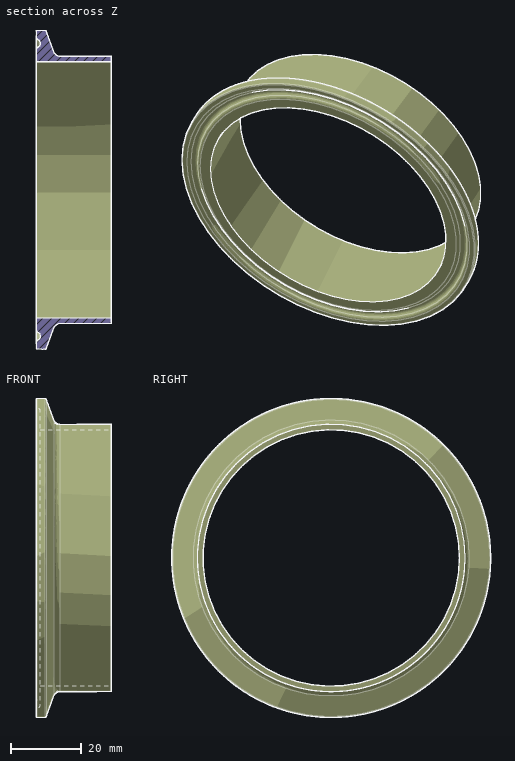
import cadquery as cq
import math

length = 21.5
flange_radius = 45.5
tube_radius = 38.1
bore_radius = 36.5

rim_width = 2.8
back_angle = math.radians(20)
front_edge_radius = 0.3
back_edge_radius = 0.5
root_radius = 1.8

groove_center_radius = 41.8
groove_depth = 1.2
groove_arc_radius = 1.2
groove_lip_radius = 1.2

cone_length = (flange_radius - tube_radius) * math.tan(back_angle)


def make_body():
    """Revolve the ferrule section without its gasket groove and edge rounds."""
    section = (
        cq.Workplane("XY")
        .moveTo(0, bore_radius)
        .lineTo(0, flange_radius)
        .lineTo(rim_width, flange_radius)
        .lineTo(rim_width + cone_length, tube_radius)
        .lineTo(length, tube_radius)
        .lineTo(length, bore_radius)
        .close()
    )
    return section.revolve(360, (0, 0, 0), (1, 0, 0))


def round_edge(body, x, radius, fillet_radius):
    """Fillet the circular edge at the given axial position and radius."""
    reach = 0.1
    picker = cq.selectors.BoxSelector(
        (x - reach, -radius - reach, -radius - reach),
        (x + reach, radius + reach, radius + reach),
        boundingbox=True,
    )
    circles = body.edges(picker).edges("%CIRCLE")
    edge = circles.filter(lambda e: abs(e.radius() - radius) < reach)
    return edge.fillet(fillet_radius)


def make_groove():
    """Ring cutter: a concave groove arc tangent to a convex lip arc on each side."""
    center_distance = groove_arc_radius + groove_lip_radius
    join_angle = math.acos(1 - groove_depth / center_distance)

    half_width = center_distance * math.sin(join_angle)
    join_x = groove_lip_radius * (1 - math.cos(join_angle))
    join_offset = groove_arc_radius * math.sin(join_angle)
    lip_mid_x = groove_lip_radius * (1 - math.cos(join_angle / 2))
    lip_mid_offset = half_width - groove_lip_radius * math.sin(join_angle / 2)

    section = (
        cq.Workplane("XY", origin=(0, groove_center_radius, 0))
        .moveTo(0, half_width)
        .threePointArc((lip_mid_x, lip_mid_offset), (join_x, join_offset))
        .threePointArc((groove_depth, 0), (join_x, -join_offset))
        .threePointArc((lip_mid_x, -lip_mid_offset), (0, -half_width))
        .close()
    )
    return section.revolve(360, (0, -groove_center_radius, 0), (1, -groove_center_radius, 0))


body = make_body()
body = round_edge(body, rim_width + cone_length, tube_radius, root_radius)
body = round_edge(body, rim_width, flange_radius, back_edge_radius)
body = round_edge(body, 0, flange_radius, front_edge_radius)
result = body.cut(make_groove())